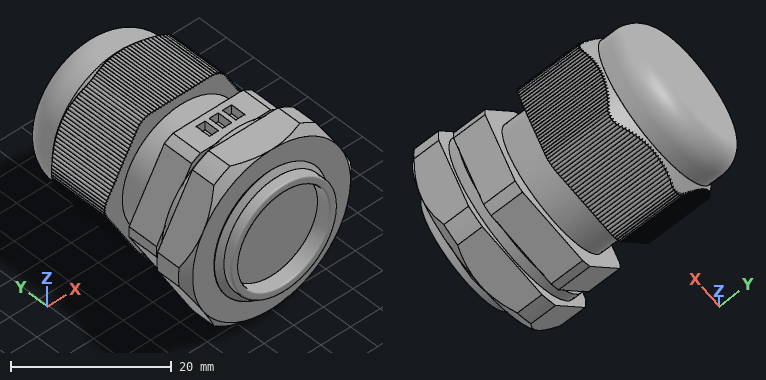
import cadquery as cq
import math


nut_start = 2.35
nut_end = 7.53
body_hex_start = 8.95
body_hex_end = 14.0
cap_start = 18.9
cap_chamfer_end = 30.4
total_length = 36.55

thread_diameter = 20.0
core_diameter = 17.9
bore_diameter = 15.5
bore_depth = 2.35
core_edge_radius = 0.3
bore_edge_radius = 0.25

pitch = 1.5
crest_width = 0.1
flank_angle = 30.0
ridge_start = 1.65
ridge_turns = 1.1
ridge_embed = 0.1
runout_angle = 45.0
runout_sections = 4

nut_flats = 26.7
nut_corners = 29.17

flange_diameter = 25.0
body_flats = 24.0
body_corners = 26.75
neck_diameter = 20.0

window_count = 3
window_width = 1.5
window_length = 2.45
window_depth = 1.45
window_spacing = 2.23
window_center = 11.75

dome_diameter = 22.5
dome_radius = 4.02
cap_flats = 23.4
cap_corners = 26.15
grip_count = 160
grip_depth = 0.22


def cylinder(diameter, start, end):
    return cq.Workplane("XZ", origin=(0, start, 0)).circle(diameter / 2).extrude(start - end)


def rounded_hexagon(flats, corners, start, end):
    """Hexagonal prism with flats facing +Z and -Z and its corners turned to a diameter."""
    sharp_corners = flats / math.cos(math.pi / 6)
    prism = cq.Workplane("XZ", origin=(0, start, 0)).polygon(6, sharp_corners).extrude(start - end)
    return prism.intersect(cylinder(corners, start, end))


def make_locknut():
    nut = rounded_hexagon(nut_flats, nut_corners, nut_start, nut_end)
    chamfer = (nut_corners - nut_flats) / 2
    envelope = cylinder(nut_corners, nut_start, nut_end).faces("<Y").chamfer(chamfer)
    return nut.intersect(envelope)


def make_body():
    body = rounded_hexagon(body_flats, body_corners, body_hex_start, body_hex_end)
    windows = (
        cq.Workplane("XY", origin=(0, window_center, body_flats / 2))
        .rarray(window_spacing, 0.35, window_count, 1)
        .rect(window_width, window_length)
        .extrude(-window_depth)
    )
    body = body.cut(windows)
    body = body.union(cylinder(flange_diameter, nut_end, body_hex_start))
    return body.union(cylinder(neck_diameter, body_hex_end, cap_start))


def rounded_side_point(distance, flats, corner_radius, inset):
    """Point (along, out) on one hexagon side, from the middle of its flat onto half of each corner."""
    half_flat = (flats / 2 - corner_radius) * math.tan(math.pi / 6)
    overrun = max(abs(distance) - half_flat, 0)
    turn = math.copysign(overrun / corner_radius, distance)
    reach = corner_radius - inset
    along = max(-half_flat, min(half_flat, distance)) + reach * math.sin(turn)
    out = flats / 2 - corner_radius + reach * math.cos(turn)
    return along, out


def make_cap():
    stretch = 1 / math.cos(math.pi / 6)
    corner_radius = (cap_flats * stretch - cap_corners) / 2 / (stretch - 1)
    half_flat = (cap_flats / 2 - corner_radius) * math.tan(math.pi / 6)
    side_length = 2 * half_flat + corner_radius * math.pi / 3
    grip_pitch = 6 * side_length / grip_count

    def outline_point(step, inset):
        """Point a number of grip pitches around the outline from the middle of the upper flat."""
        distance = step * grip_pitch
        side = round(distance / side_length)
        along, out = rounded_side_point(distance - side * side_length, cap_flats, corner_radius, inset)
        angle = side * math.pi / 3
        x = along * math.cos(angle) + out * math.sin(angle)
        z = out * math.cos(angle) - along * math.sin(angle)
        return x, z

    profile = cq.Workplane("XZ", origin=(0, cap_start, 0)).moveTo(*outline_point(0, grip_depth))
    for rib in range(grip_count):
        crest = outline_point(rib + 0.5, 0)
        groove = outline_point(rib + 1, grip_depth)
        profile = profile.threePointArc(crest, groove)
    grip = profile.close().extrude(cap_start - cap_chamfer_end)
    envelope = cylinder(cap_corners, cap_start, cap_chamfer_end)
    grip = grip.intersect(envelope.faces(">Y").chamfer((cap_corners - dome_diameter) / 2))

    dome = cylinder(dome_diameter, cap_chamfer_end, total_length)
    dome = dome.faces(">Y").edges().fillet(dome_radius)
    return grip.union(dome)


def make_threaded_end():
    core = cylinder(core_diameter, 0, nut_start)
    core = core.faces("<Y").edges().fillet(core_edge_radius)
    core = core.cut(cylinder(bore_diameter, 0, bore_depth))
    bore_rim = cq.selectors.RadiusNthSelector(0)
    return core.faces("<Y").edges(bore_rim).fillet(bore_edge_radius)


def ridge_profile(angle, height, crest_radius):
    """Thread section at an angle about Z; its foot lies a little inside the core."""
    foot_radius = core_diameter / 2 - ridge_embed
    half_crest = crest_width / 2
    half_foot = half_crest + (crest_radius - foot_radius) * math.tan(math.radians(flank_angle))
    direction = (math.cos(angle), math.sin(angle), 0)
    plane = cq.Plane(origin=(0, 0, height), xDir=direction, normal=(direction[1], -direction[0], 0))
    return cq.Workplane(plane).polyline([
        (foot_radius, -half_foot),
        (crest_radius, -half_crest),
        (crest_radius, half_crest),
        (foot_radius, half_foot),
    ]).close()


def make_thread_ridge():
    """Right-handed ridge built along Z, then laid along Y; its first stretch rises from the core."""
    crest_radius = thread_diameter / 2
    path = cq.Wire.makeHelix(pitch, ridge_turns * pitch, crest_radius)
    ridge = ridge_profile(0, 0, crest_radius).sweep(cq.Workplane(path), isFrenet=True)

    runout = math.radians(runout_angle)
    end_radius = (core_diameter - ridge_embed) / 2
    sections = []
    for step in range(runout_sections + 1):
        fade = step / runout_sections
        angle = -runout * fade
        radius = crest_radius - (crest_radius - end_radius) * fade
        height = pitch * angle / (2 * math.pi)
        sections.append(ridge_profile(angle, height, radius).val())
    ridge = ridge.union(cq.Workplane(cq.Solid.makeLoft(sections, True)))
    return (
        ridge.rotate((0, 0, 0), (0, 0, 1), 90)
        .rotate((0, 0, 0), (1, 0, 0), -90)
        .translate((0, ridge_start, 0))
    )


result = (
    make_locknut()
    .union(make_body())
    .union(make_cap())
    .union(make_threaded_end())
    .union(make_thread_ridge())
)